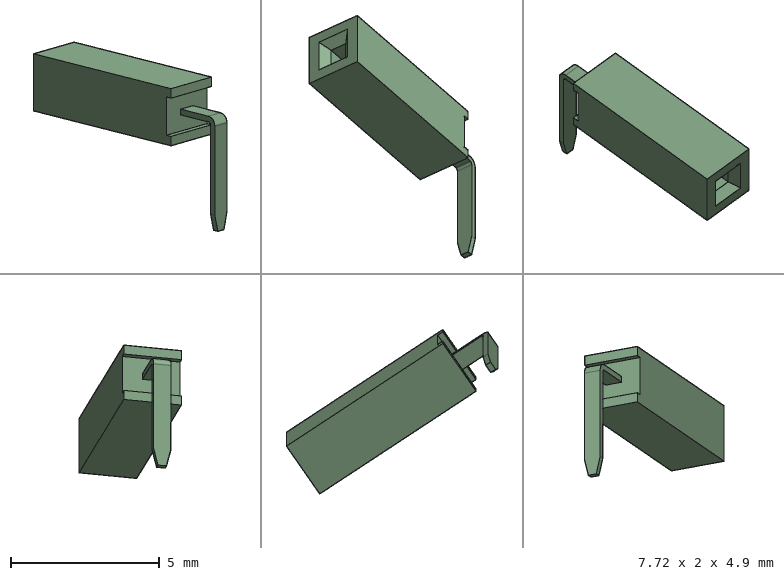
import cadquery as cq


overall_length = 7.72
overall_height = 4.9

body_side = 2.0
body_length = 6.35
rear_notch_depth = 0.21
rear_lip_height = 0.33

pin_width = 0.6
pin_thickness = 0.2
bend_outer_radius = 0.3
bend_inner_radius = bend_outer_radius - pin_thickness
tip_length = 0.6
tip_width = pin_width / 2

mouth_side = 1.2
bore_side = pin_width
funnel_depth = (mouth_side - bore_side) / 2
bore_end = 4.0
slot_height = pin_thickness
slot_floor_width = 0.5
slot_depth = (bore_side - slot_floor_width) / 2

pin_bottom = body_side / 2 - overall_height
notch_x = body_length - rear_notch_depth
pin_top = pin_thickness / 2
leg_front_x = overall_length - pin_thickness


def make_housing():
    """Square block with a full-width notch across its rear face."""
    block = cq.Workplane("XY").box(body_length, body_side, body_side, centered=(False, True, True))
    notch_height = body_side - 2 * rear_lip_height
    notch = (
        cq.Workplane("XY")
        .box(rear_notch_depth, body_side, notch_height, centered=(False, True, True))
        .translate((notch_x, 0, 0))
    )
    return block.cut(notch)


def make_socket():
    """Cavity: a funnel, a square bore and a shallow slot with sloped ends in the bore floor."""
    funnel = (
        cq.Workplane("YZ")
        .rect(mouth_side, mouth_side)
        .workplane(offset=funnel_depth)
        .rect(bore_side, bore_side)
        .loft(ruled=True)
    )
    bore = (
        cq.Workplane("YZ", origin=(funnel_depth, 0, 0))
        .rect(bore_side, bore_side)
        .extrude(bore_end - funnel_depth)
    )
    slot = (
        cq.Workplane("YZ", origin=(bore_end, 0, 0))
        .rect(bore_side, slot_height)
        .workplane(offset=slot_depth)
        .rect(slot_floor_width, slot_height)
        .loft(ruled=True)
    )
    return funnel.union(bore).union(slot)


def make_pin():
    """Flat pin leaving the notch, bent down, with both edges of its end tapered."""
    strip = (
        cq.Workplane("XZ")
        .moveTo(notch_x, pin_top)
        .lineTo(overall_length - bend_outer_radius, pin_top)
        .radiusArc((overall_length, pin_top - bend_outer_radius), bend_outer_radius)
        .lineTo(overall_length, pin_bottom)
        .lineTo(leg_front_x, pin_bottom)
        .lineTo(leg_front_x, -pin_top - bend_inner_radius)
        .radiusArc((leg_front_x - bend_inner_radius, -pin_top), -bend_inner_radius)
        .lineTo(notch_x, -pin_top)
        .close()
        .extrude(pin_width / 2, both=True)
    )
    front_outline = (
        cq.Workplane("YZ", origin=(notch_x, 0, 0))
        .polyline([
            (-pin_width / 2, pin_top),
            (-pin_width / 2, pin_bottom + tip_length),
            (-tip_width / 2, pin_bottom),
            (tip_width / 2, pin_bottom),
            (pin_width / 2, pin_bottom + tip_length),
            (pin_width / 2, pin_top),
        ])
        .close()
        .extrude(overall_length - notch_x)
    )
    return strip.intersect(front_outline)


result = make_housing().cut(make_socket()).union(make_pin())